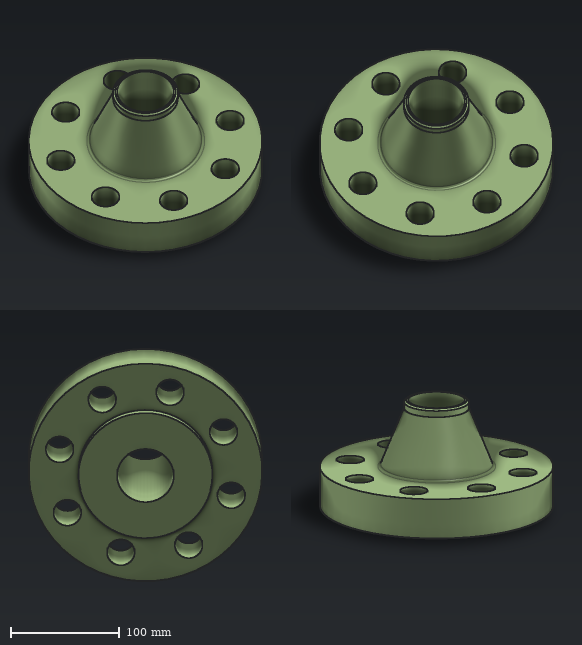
import cadquery as cq

flange_diameter = 215.8
flange_thickness = 38.0

face_diameter = 124.0
face_height = 8.0

total_height = 109.6
hub_base_diameter = 105.0
hub_fillet_radius = 3.0
neck_diameter = 60.2
neck_length = 7.8
bevel_width = 2.2
bevel_height = 1.7

bore_diameter = 52.5
bolt_circle_diameter = 165.0
bolt_hole_diameter = 25.5
bolt_count = 8

plate_top = face_height + flange_thickness
neck_bottom = total_height - neck_length
bevel_bottom = total_height - bevel_height


def plate():
    """Round plate with the raised sealing face on its underside."""
    sealing_face = cq.Workplane("XY").circle(face_diameter / 2).extrude(face_height)
    disc = (
        cq.Workplane("XY")
        .workplane(offset=face_height)
        .circle(flange_diameter / 2)
        .extrude(flange_thickness)
    )
    return sealing_face.union(disc)


def hub():
    """Tapered hub ending in a straight neck with a bevelled weld end."""
    profile = (
        cq.Workplane("XZ")
        .moveTo(0, plate_top)
        .lineTo(hub_base_diameter / 2, plate_top)
        .lineTo(neck_diameter / 2, neck_bottom)
        .lineTo(neck_diameter / 2, bevel_bottom)
        .lineTo(neck_diameter / 2 - bevel_width, total_height)
        .lineTo(0, total_height)
        .close()
    )
    return profile.revolve(360, (0, 0, 0), (0, 1, 0))


def round_hub_root(solid):
    """Fillet the corner where the hub meets the top of the plate."""
    return solid.faces("%CONE").faces("<Z").edges("<Z").fillet(hub_fillet_radius)


def bore():
    """Straight bore through the full height."""
    return cq.Workplane("XY").circle(bore_diameter / 2).extrude(total_height)


def bolt_holes():
    """Plain holes through the plate, the first one on the +X axis."""
    return (
        cq.Workplane("XY")
        .workplane(offset=face_height)
        .polarArray(bolt_circle_diameter / 2, 0, 360, bolt_count)
        .circle(bolt_hole_diameter / 2)
        .extrude(flange_thickness)
    )


result = round_hub_root(plate().union(hub())).cut(bore()).cut(bolt_holes())